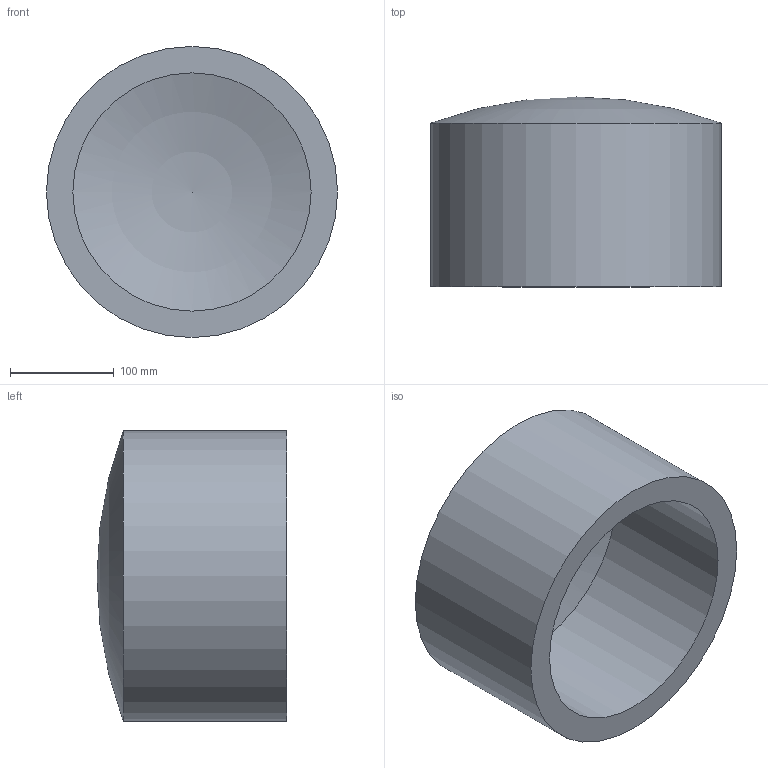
import cadquery as cq
import math

outer_diameter = 280.0
wall = 25.4
overall_length = 182.59
dome_radius = 400.0

outer_radius = outer_diameter / 2
bore_radius = outer_radius - wall
dome_centre_y = overall_length - dome_radius
inner_dome_radius = dome_radius - wall


def dome_y(sphere_radius, radius):
    """Y position of a crown sphere at a given distance from the axis."""
    return dome_centre_y + math.sqrt(sphere_radius**2 - radius**2)


def domed_plug(radius, sphere_radius):
    """Solid cylinder about Y, flat at Y = 0 and closed by a spherical crown."""
    apex = (0, dome_y(sphere_radius, 0))
    crown_middle = (radius / 2, dome_y(sphere_radius, radius / 2))
    profile = (
        cq.Workplane("XY")
        .lineTo(radius, 0)
        .lineTo(radius, dome_y(sphere_radius, radius))
        .threePointArc(crown_middle, apex)
        .close()
    )
    return profile.revolve(360, (0, 0, 0), (0, 1, 0))


outer_body = domed_plug(outer_radius, dome_radius)
cavity = domed_plug(bore_radius, inner_dome_radius)
result = outer_body.cut(cavity)